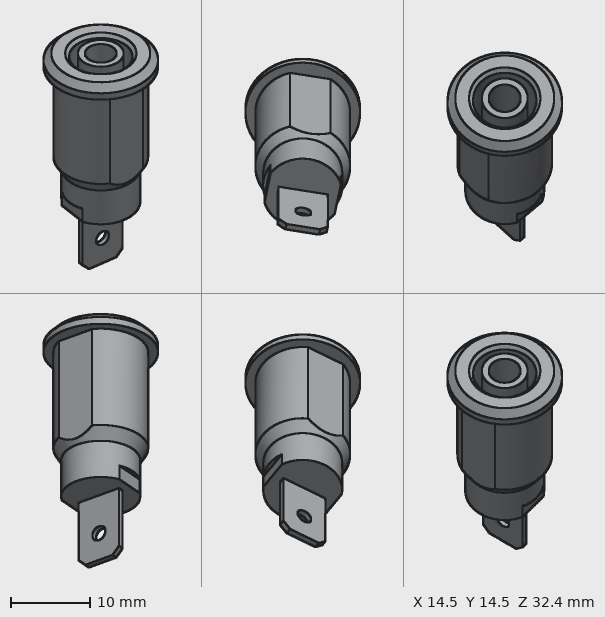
import cadquery as cq
import math


flange_diameter = 14.5
flange_height = 2.0
flange_chamfer = 1.0

barrel_diameter = 12.0
barrel_length = 14.0
barrel_across_flats = 10.8
neck_diameter = 10.0
cone_half_angle = 30.0
body_length = 21.0

neck_across_flats = 9.0
neck_flat_height = 2.0

recess_diameter = 8.0
recess_chamfer = 0.5
sleeve_diameter = 5.8
sleeve_bore_diameter = 4.0
socket_depth = 18.0

blade_width = 6.3
blade_thickness = 0.8
blade_length = 9.4
blade_corner_chamfer = 1.0
blade_hole_diameter = 2.0
blade_hole_from_tip = 3.9

cone_height = (barrel_diameter - neck_diameter) / 2 / math.tan(math.radians(cone_half_angle))
cone_bottom_z = -barrel_length - cone_height
neck_end_z = -body_length
blade_tip_z = neck_end_z - blade_length
socket_floor_z = flange_height - socket_depth


def make_flange():
    flange = cq.Workplane("XY").circle(flange_diameter / 2).extrude(flange_height)
    return flange.faces(">Z").chamfer(flange_chamfer)


def make_barrel():
    """Barrel and cone, with two flats facing +X and -X."""
    barrel = (
        cq.Workplane("XZ")
        .moveTo(0, 0)
        .lineTo(barrel_diameter / 2, 0)
        .lineTo(barrel_diameter / 2, -barrel_length)
        .lineTo(neck_diameter / 2, cone_bottom_z)
        .lineTo(0, cone_bottom_z)
        .close()
        .revolve(360, (0, 0, 0), (0, 1, 0))
    )
    between_flats = (
        cq.Workplane("XY")
        .rect(barrel_across_flats, barrel_diameter)
        .extrude(cone_bottom_z)
    )
    return barrel.intersect(between_flats)


def make_neck():
    """Round neck whose lower end has two flats facing +Y and -Y."""
    flats_top_z = neck_end_z + neck_flat_height
    round_part = (
        cq.Workplane("XY")
        .workplane(offset=flats_top_z)
        .circle(neck_diameter / 2)
        .extrude(cone_bottom_z - flats_top_z)
    )
    flatted_part = (
        cq.Workplane("XY")
        .workplane(offset=neck_end_z)
        .circle(neck_diameter / 2)
        .extrude(neck_flat_height)
    )
    between_flats = (
        cq.Workplane("XY")
        .workplane(offset=neck_end_z)
        .rect(neck_diameter, neck_across_flats)
        .extrude(neck_flat_height)
    )
    return round_part.union(flatted_part.intersect(between_flats))


def make_socket_cutter():
    """Recess with a chamfered mouth, leaving the hollow sleeve standing inside it."""
    recess_radius = recess_diameter / 2
    recess = (
        cq.Workplane("XZ")
        .moveTo(0, socket_floor_z)
        .lineTo(recess_radius, socket_floor_z)
        .lineTo(recess_radius, flange_height - recess_chamfer)
        .lineTo(recess_radius + recess_chamfer, flange_height)
        .lineTo(0, flange_height)
        .close()
        .revolve(360, (0, 0, 0), (0, 1, 0))
    )
    sleeve = (
        cq.Workplane("XY")
        .workplane(offset=socket_floor_z)
        .circle(sleeve_diameter / 2)
        .circle(sleeve_bore_diameter / 2)
        .extrude(socket_depth)
    )
    return recess.cut(sleeve)


def make_blade():
    """Blade in the YZ plane with chamfered tip corners and a cross hole."""
    blade = (
        cq.Workplane("XY")
        .workplane(offset=blade_tip_z)
        .rect(blade_thickness, blade_width)
        .extrude(blade_length)
        .edges("<Z and |X")
        .chamfer(blade_corner_chamfer)
    )
    hole = (
        cq.Workplane("YZ")
        .center(0, blade_tip_z + blade_hole_from_tip)
        .circle(blade_hole_diameter / 2)
        .extrude(blade_thickness, both=True)
    )
    return blade.cut(hole)


body = make_flange().union(make_barrel()).union(make_neck())
result = body.cut(make_socket_cutter()).union(make_blade())